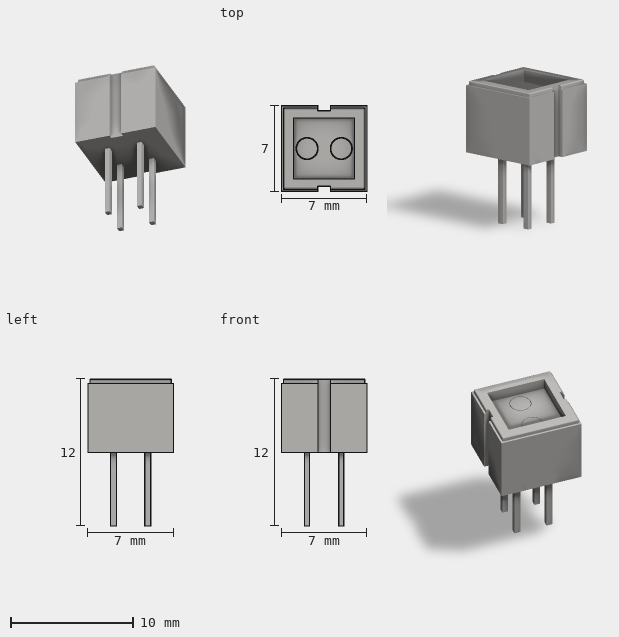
import cadquery as cq

TOTAL_HEIGHT = 12.0
HOUSING_SIDE = 7.0
HOUSING_HEIGHT = TOTAL_HEIGHT / 2

LIP_INSET = 0.17
LIP_HEIGHT = 0.36
LIP_FILLET = 0.1

NOTCH_WIDTH = 1.02
NOTCH_DEPTH = 0.41

WINDOW_SIDE = 4.99
WINDOW_DEPTH = 1.0
INSERT_THICKNESS = 1.0

PITCH = 2.8
LENS_DIAMETER = 1.7
LENS_CLEARANCE = 0.05

PIN_WIDTH_X = 0.42
PIN_WIDTH_Y = 0.5

PIN_LENGTH = TOTAL_HEIGHT - HOUSING_HEIGHT
SHOULDER_Z = HOUSING_HEIGHT - LIP_HEIGHT
INSERT_TOP_Z = HOUSING_HEIGHT - WINDOW_DEPTH
INSERT_BOTTOM_Z = INSERT_TOP_Z - INSERT_THICKNESS

LENS_CENTERS = [(-PITCH / 2, 0), (PITCH / 2, 0)]
PIN_CENTERS = [(x, y) for x in (-PITCH / 2, PITCH / 2) for y in (-PITCH / 2, PITCH / 2)]


def square_block(side, bottom_z, height):
    """Square block centred on the Z axis."""
    return cq.Workplane("XY", origin=(0, 0, bottom_z)).rect(side, side).extrude(height)


def make_housing():
    """Square housing with a rounded lip, two side notches and a square window."""
    lip_side = HOUSING_SIDE - 2 * LIP_INSET
    lip = square_block(lip_side, SHOULDER_Z, LIP_HEIGHT).faces(">Z").edges().fillet(LIP_FILLET)
    body = square_block(HOUSING_SIDE, 0, SHOULDER_Z).union(lip)

    notches = (
        cq.Workplane("XY")
        .pushPoints([(0, -HOUSING_SIDE / 2), (0, HOUSING_SIDE / 2)])
        .rect(NOTCH_WIDTH, 2 * NOTCH_DEPTH)
        .extrude(HOUSING_HEIGHT)
    )
    window = square_block(WINDOW_SIDE, INSERT_BOTTOM_Z, HOUSING_HEIGHT - INSERT_BOTTOM_Z)
    return body.cut(notches).cut(window)


def make_insert():
    """Plate filling the bottom of the window, with a clearance hole for each lens."""
    holes = (
        cq.Workplane("XY", origin=(0, 0, INSERT_BOTTOM_Z))
        .pushPoints(LENS_CENTERS)
        .circle(LENS_DIAMETER / 2 + LENS_CLEARANCE)
        .extrude(INSERT_THICKNESS)
    )
    return square_block(WINDOW_SIDE, INSERT_BOTTOM_Z, INSERT_THICKNESS).cut(holes)


def make_lens(center):
    """Round lens standing on the window bottom, flush with the insert."""
    x, y = center
    base = cq.Workplane("XY", origin=(x, y, INSERT_BOTTOM_Z))
    return base.circle(LENS_DIAMETER / 2).extrude(INSERT_THICKNESS)


def make_pin(center):
    """Rectangular pin reaching down from the underside of the housing."""
    x, y = center
    base = cq.Workplane("XY", origin=(x, y, 0))
    return base.rect(PIN_WIDTH_X, PIN_WIDTH_Y).extrude(-PIN_LENGTH)


housing = make_housing()
insert = make_insert()
lenses = [make_lens(center).val() for center in LENS_CENTERS]
pins = [make_pin(center).val() for center in PIN_CENTERS]

result = cq.Compound.makeCompound([housing.val(), insert.val(), *lenses, *pins])